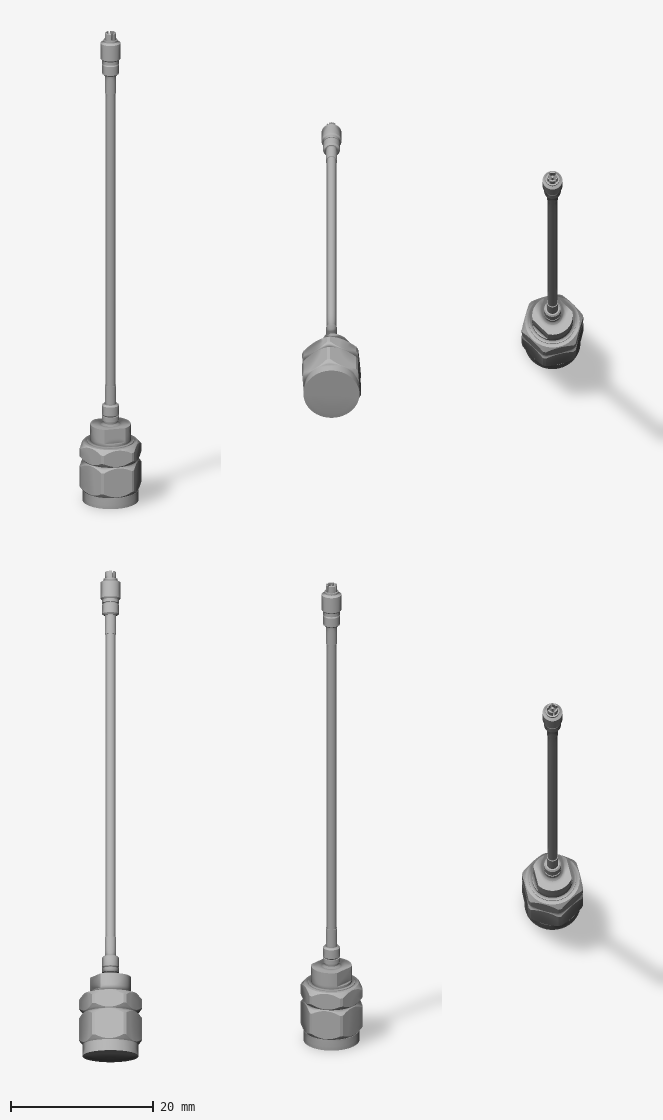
import cadquery as cq
import math

TOTAL_HEIGHT = 69.8
OVERLAP = 0.7

NUT_ACROSS_FLATS = 7.9
NUT_SIDES = 6
NUT_ACROSS_CORNERS = 8.85
NUT_HEIGHT = 8.8
SKIRT_HEIGHT = 1.6
WAIST_Z = 6.15
BEVEL_TOP_DIAMETER = 7.7
BEVEL_HEIGHT = 0.7

SHANK_DIAMETER = 5.7
SHANK_TOP = 11.4
SHANK_ACROSS_FLATS = 4.8
FLATS_BOTTOM = 9.3
RING_DIAMETER = 6.6
RING_HEIGHT = 0.15

NECK_DIAMETER = 1.95
NECK_FOOT_DIAMETER = 2.8
NECK_FOOT_HEIGHT = 0.2

FERRULE_DIAMETER = 2.4
FERRULE_CHAMFER = 0.2
COLLAR_LENGTH = 1.75
SLEEVE_DIAMETER = 1.6
SLEEVE_LENGTH = 2.7
CABLE_DIAMETER = 1.4
LOWER_FERRULE_END = 12.6
UPPER_FERRULE_END = 65.25
FLANGE_LENGTH = 0.6

BARREL_DIAMETER = NECK_FOOT_DIAMETER
BARREL_BOTTOM = 65.75
BARREL_TOP = 68.25
BARREL_CHAMFER = 0.2
CROWN_BOTTOM = 68.75
CROWN_DIAMETER = 1.55
CROWN_BORE = 1.1
CROWN_CHAMFER = 0.1
SLOT_WIDTH = 0.3
SLOT_COUNT = 4
PIN_DIAMETER = 0.35


def cylinder(diameter, bottom, top):
    """Upright cylinder on the Z axis."""
    return cq.Workplane("XY").workplane(offset=bottom).circle(diameter / 2).extrude(top - bottom)


def turned(points):
    """Solid of revolution about Z from (radius, z) profile points."""
    return cq.Workplane("XZ").polyline(points).close().revolve(360, (0, 0), (0, 1))


def footed_neck(bottom, top):
    """Neck that flares into a short conical foot at its bottom."""
    neck = NECK_DIAMETER / 2
    return turned([
        (0, bottom),
        (NECK_FOOT_DIAMETER / 2, bottom),
        (neck, bottom + NECK_FOOT_HEIGHT),
        (neck, top),
        (0, top),
    ])


def bevelled_hexagon(bottom, top):
    """Hexagonal row with flats on +X and -X, coned at both ends and turned at the corners."""
    hexagon = (
        cq.Workplane("XY")
        .workplane(offset=bottom)
        .polygon(NUT_SIDES, NUT_ACROSS_FLATS / math.cos(math.pi / NUT_SIDES))
        .extrude(top - bottom)
        .rotate((0, 0, 0), (0, 0, 1), 180 / NUT_SIDES)
    )
    small = BEVEL_TOP_DIAMETER / 2
    large = NUT_ACROSS_CORNERS / 2
    envelope = turned([
        (0, bottom),
        (small, bottom),
        (large, bottom + BEVEL_HEIGHT),
        (large, top - BEVEL_HEIGHT),
        (small, top),
        (0, top),
    ])
    return hexagon.intersect(envelope)


def make_nut():
    skirt = cylinder(NUT_ACROSS_FLATS, 0, SKIRT_HEIGHT)
    lower_row = bevelled_hexagon(SKIRT_HEIGHT, WAIST_Z)
    upper_row = bevelled_hexagon(WAIST_Z, NUT_HEIGHT)
    bore = cylinder(SHANK_DIAMETER, -OVERLAP, NUT_HEIGHT + OVERLAP)
    return skirt.union(lower_row).union(upper_row).cut(bore)


def make_plug_body():
    shank = cylinder(SHANK_DIAMETER, 0, FLATS_BOTTOM)
    between_flats = (
        cq.Workplane("XY")
        .workplane(offset=FLATS_BOTTOM)
        .rect(SHANK_ACROSS_FLATS, SHANK_DIAMETER)
        .extrude(SHANK_TOP - FLATS_BOTTOM)
    )
    flatted_end = cylinder(SHANK_DIAMETER, FLATS_BOTTOM, SHANK_TOP).intersect(between_flats)
    ring = cylinder(RING_DIAMETER, NUT_HEIGHT, NUT_HEIGHT + RING_HEIGHT)
    flange_bottom = LOWER_FERRULE_END - FLANGE_LENGTH
    neck = footed_neck(SHANK_TOP, flange_bottom)
    flange = cylinder(FERRULE_DIAMETER, flange_bottom, LOWER_FERRULE_END)
    return shank.union(flatted_end).union(ring).union(neck).union(flange)


def make_ferrule(end, direction):
    """Collar and thin sleeve around the cable; direction is +1 upward or -1 downward from end."""
    bore = CABLE_DIAMETER / 2
    sleeve = SLEEVE_DIAMETER / 2
    collar = FERRULE_DIAMETER / 2
    collar_end = end + direction * COLLAR_LENGTH
    sleeve_end = collar_end + direction * SLEEVE_LENGTH
    chamfer = direction * FERRULE_CHAMFER
    return turned([
        (bore, end),
        (collar - FERRULE_CHAMFER, end),
        (collar, end + chamfer),
        (collar, collar_end - chamfer),
        (collar - FERRULE_CHAMFER, collar_end),
        (sleeve, collar_end),
        (sleeve, sleeve_end),
        (bore, sleeve_end),
    ])


def make_snap_plug():
    flange = cylinder(FERRULE_DIAMETER, UPPER_FERRULE_END, BARREL_BOTTOM)
    barrel = cylinder(BARREL_DIAMETER, BARREL_BOTTOM, BARREL_TOP).faces("<Z").chamfer(BARREL_CHAMFER)
    shoulder = footed_neck(BARREL_TOP, CROWN_BOTTOM)
    crown = cylinder(CROWN_DIAMETER, CROWN_BOTTOM, TOTAL_HEIGHT).faces(">Z").chamfer(CROWN_CHAMFER)
    plug = flange.union(barrel).union(shoulder).union(crown)
    plug = plug.cut(cylinder(CROWN_BORE, CROWN_BOTTOM, TOTAL_HEIGHT + OVERLAP))
    slot = (
        cq.Workplane("XY")
        .workplane(offset=CROWN_BOTTOM)
        .center(CROWN_DIAMETER / 2, 0)
        .rect(CROWN_DIAMETER, SLOT_WIDTH)
        .extrude(TOTAL_HEIGHT - CROWN_BOTTOM + OVERLAP)
    )
    for i in range(SLOT_COUNT):
        plug = plug.cut(slot.rotate((0, 0, 0), (0, 0, 1), i * 360 / SLOT_COUNT))
    return plug


def make_pin():
    return cylinder(PIN_DIAMETER, CROWN_BOTTOM, TOTAL_HEIGHT - CROWN_CHAMFER)


nut = make_nut()
plug_body = make_plug_body()
cable = cylinder(CABLE_DIAMETER, LOWER_FERRULE_END, UPPER_FERRULE_END)
ferrules = [
    make_ferrule(LOWER_FERRULE_END, 1).val(),
    make_ferrule(UPPER_FERRULE_END, -1).val(),
]
snap_plug = make_snap_plug()
contact_pin = make_pin()

result = cq.Compound.makeCompound([
    nut.val(),
    plug_body.val(),
    cable.val(),
    *ferrules,
    snap_plug.val(),
    contact_pin.val(),
])